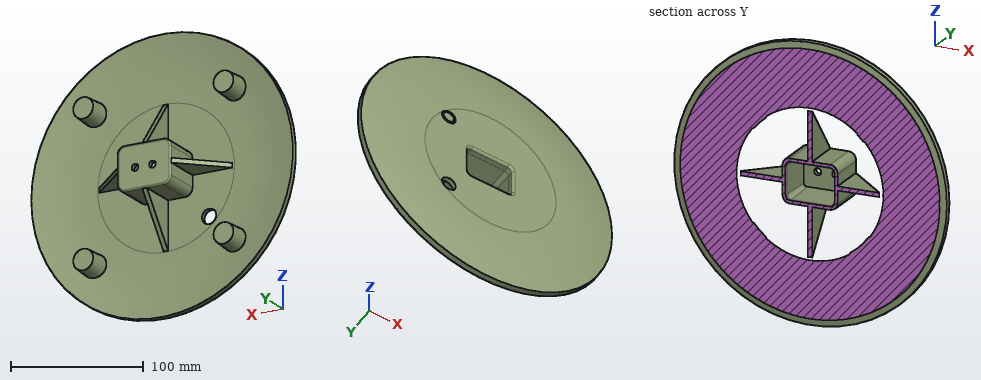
import cadquery as cq
import math

disc_diameter = 226.0
rim_thickness = 5.0
flat_thickness = 4.0
dome_height = 5.0
flat_radius = 59.0

box_top_y = 28.0
box_size_x = 46.0
box_size_z = 36.5
box_corner_radius = 6.5
box_edge_fillet = 1.4
floor_thickness = 4.0
cavity_size_x = 40.2
cavity_size_z = 30.5
cavity_corner_radius = 3.8
cavity_straight_depth = 6.0
cavity_draft_angle = 2.3
mouth_fillet = 2.0

screw_hole_diameter = 5.6
screw_hole_spacing = 15.0
screw_hole_z = -1.0

rib_thickness = 3.8
rib_reach = 51.3

peg_offset = 60.5
peg_base_diameter = 18.8
peg_tip_diameter = 17.2
peg_top_y = 13.3

hole_offset = 37.3
hole_diameter = 12.2
knockout_diameter = 9.3
groove_depth = 2.3
groove_floor_width = 0.7

disc_radius = disc_diameter / 2
front_y = -(rim_thickness + dome_height)
flat_back_y = front_y + flat_thickness
box_height = box_top_y - flat_back_y
rib_top_y = box_top_y - box_edge_fillet


def plane_facing_back(y):
    """Workplane at height y whose normal is +Y; its local axes are -X and Z."""
    return cq.Workplane(cq.Plane(origin=(0, y, 0), xDir=(-1, 0, 0), normal=(0, 1, 0)))


def dome_middle(start_y, end_y):
    """Middle point of the arc that leaves the flat tangentially at start_y and meets the rim at end_y."""
    span = disc_radius - flat_radius
    rise = end_y - start_y
    radius = (span**2 + rise**2) / (2 * rise)
    half_angle = math.asin(span / radius) / 2
    return (
        flat_radius + radius * math.sin(half_angle),
        start_y + radius * (1 - math.cos(half_angle)),
    )


def make_disc():
    """Flat centre that runs into a circular dome, front and back, and ends in a cylindrical rim."""
    rim_front_y = -rim_thickness
    return (
        cq.Workplane("XY")
        .moveTo(0, front_y)
        .lineTo(flat_radius, front_y)
        .threePointArc(dome_middle(front_y, rim_front_y), (disc_radius, rim_front_y))
        .lineTo(disc_radius, 0)
        .threePointArc(dome_middle(flat_back_y, 0), (flat_radius, flat_back_y))
        .lineTo(0, flat_back_y)
        .close()
        .revolve(360, (0, 0, 0), (0, 1, 0))
    )


def make_box():
    """Outer body of the box, still solid, with rounded corners and a rounded top edge."""
    return (
        plane_facing_back(flat_back_y)
        .rect(box_size_x, box_size_z)
        .extrude(box_height)
        .edges("|Y")
        .fillet(box_corner_radius)
        .faces(">Y")
        .edges()
        .fillet(box_edge_fillet)
    )


def make_rib(box_size):
    """Triangular rib across the box along X; its slopes run from the box top down to the disc."""
    half_top = box_size / 2
    slope_run = (rib_reach - half_top) / rib_top_y
    half_foot = rib_reach - slope_run * flat_back_y
    return (
        cq.Workplane("XY")
        .polyline([
            (-half_foot, flat_back_y),
            (half_foot, flat_back_y),
            (half_top, rib_top_y),
            (-half_top, rib_top_y),
        ])
        .close()
        .extrude(rib_thickness / 2, both=True)
    )


def make_peg(x, z):
    """Peg that tapers towards its tip; its root is buried in the disc."""
    diameter_slope = (peg_base_diameter - peg_tip_diameter) / peg_top_y
    root_diameter = peg_base_diameter - diameter_slope * flat_back_y
    peg = cq.Solid.makeCone(
        root_diameter / 2,
        peg_tip_diameter / 2,
        peg_top_y - flat_back_y,
        cq.Vector(x, flat_back_y, z),
        cq.Vector(0, 1, 0),
    )
    return cq.Workplane(peg)


def make_cavity():
    """Pocket that hollows the box from the front: a straight mouth, then drafted walls to the floor."""
    outline = cq.Sketch().rect(cavity_size_x, cavity_size_z).vertices().fillet(cavity_corner_radius)
    draft_start_y = front_y + cavity_straight_depth
    draft_depth = box_top_y - floor_thickness - draft_start_y
    mouth = plane_facing_back(front_y).placeSketch(outline).extrude(cavity_straight_depth)
    drafted_part = (
        plane_facing_back(draft_start_y)
        .placeSketch(outline)
        .extrude(draft_depth, taper=cavity_draft_angle)
    )
    return mouth.union(drafted_part)


def make_groove():
    """Ring groove with sloping walls in the flat front around the knock-out."""
    middle_radius = (hole_diameter + knockout_diameter) / 4
    floor_y = front_y + groove_depth
    return (
        cq.Workplane("XY")
        .polyline([
            (knockout_diameter / 2, front_y),
            (hole_diameter / 2, front_y),
            (middle_radius + groove_floor_width / 2, floor_y),
            (middle_radius - groove_floor_width / 2, floor_y),
        ])
        .close()
        .revolve(360, (0, 0, 0), (0, 1, 0))
        .translate((-hole_offset, 0, hole_offset))
    )


result = make_disc().union(make_box())
result = result.union(make_rib(box_size_x))
result = result.union(make_rib(box_size_z).rotate((0, 0, 0), (0, 1, 0), 90))
for side_x in (-1, 1):
    for side_z in (-1, 1):
        result = result.union(make_peg(side_x * peg_offset, side_z * peg_offset))

result = result.cut(make_cavity())
mouth_edges = cq.selectors.BoxSelector(
    (-box_size_x / 2, front_y - mouth_fillet / 2, -box_size_z / 2),
    (box_size_x / 2, front_y + mouth_fillet / 2, box_size_z / 2),
)
result = result.edges(mouth_edges).fillet(mouth_fillet)

screw_holes = (
    plane_facing_back(front_y)
    .pushPoints([(-screw_hole_spacing / 2, screw_hole_z), (screw_hole_spacing / 2, screw_hole_z)])
    .circle(screw_hole_diameter / 2)
    .extrude(box_top_y - front_y)
)
result = result.cut(screw_holes)

through_hole = (
    plane_facing_back(front_y)
    .center(hole_offset, -hole_offset)
    .circle(hole_diameter / 2)
    .extrude(flat_thickness)
)
result = result.cut(through_hole).cut(make_groove())